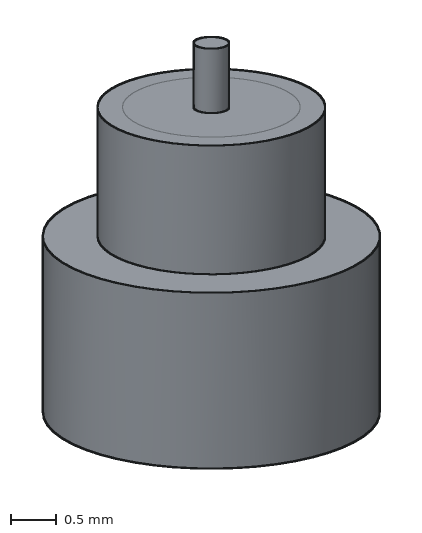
import cadquery as cq

base_diameter = 3.7
base_height = 2.05
collar_diameter = 2.5
collar_height = 1.5
insulator_diameter = 1.95
pin_diameter = 0.39
pin_height = 0.75

collar_bottom = base_height
collar_top = collar_bottom + collar_height
pin_top = collar_top + pin_height

base_radius = base_diameter / 2
collar_radius = collar_diameter / 2
insulator_radius = insulator_diameter / 2
pin_radius = pin_diameter / 2


def make_feedthrough():
    """Revolve the stepped half section, drawn on the -X side, about the Z axis.

    The extra point on the collar's flat top splits that face at the insulator's
    edge: the insulator is flush with the collar.
    """
    half_section = [
        (0, 0),
        (-base_radius, 0),
        (-base_radius, collar_bottom),
        (-collar_radius, collar_bottom),
        (-collar_radius, collar_top),
        (-insulator_radius, collar_top),
        (-pin_radius, collar_top),
        (-pin_radius, pin_top),
        (0, pin_top),
    ]
    return cq.Workplane("XZ").polyline(half_section).close().revolve(360, (0, 0), (0, 1), clean=False)


result = make_feedthrough()